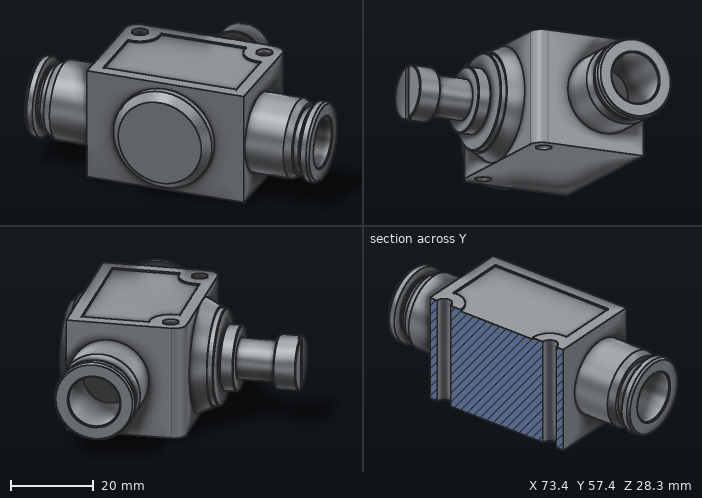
import cadquery as cq

BLOCK_WIDTH = 40.5
BLOCK_DEPTH = 29.1
BLOCK_HEIGHT = 28.3
BLOCK_FRONT_Y = -10.6
BLOCK_BACK_Y = BLOCK_FRONT_Y + BLOCK_DEPTH
BACK_CORNER_RADIUS = 3.1

MOUNT_HOLE_RADIUS = 2.0
MOUNT_HOLE_INSET = 4.2
MOUNT_HOLE_X = BLOCK_WIDTH / 2 - MOUNT_HOLE_INSET
MOUNT_HOLE_Y = BLOCK_BACK_Y - MOUNT_HOLE_INSET

PANEL_MARGIN = 3.1
PANEL_DEPTH = 0.45
LAND_RADIUS = 5.15

OVERALL_LENGTH = 73.4
PORT_RADIUS = 9.9
PORT_TAPER_RADIUS = 8.95
SHOULDER_RADIUS = 8.1
COLLET_NECK_RADIUS = 7.3
COLLET_ROOT_RADIUS = 7.55
COLLET_ROOT_LENGTH = 0.4
FLANGE_THICKNESS = 2.1
FLANGE_CHAMFER_LENGTH = 0.65
FLANGE_CHAMFER_RISE = 0.45
SHOULDER_START = 3.4
TAPER_START = 4.7
TAPER_LENGTH = 1.8
PORT_LENGTH = (OVERALL_LENGTH - BLOCK_WIDTH) / 2
BORE_RADIUS = 6.3
BORE_CHAMFER = 0.3

PLUG_RADIUS = 12.7
PLUG_LENGTH = 3.75
PLUG_CHAMFER = 2.0

BONNET_BASE_RADIUS = BLOCK_HEIGHT / 2
BONNET_TOP_RADIUS = 12.3
BONNET_LENGTH = 3.8

RIM_RADIUS = 11.9
RIM_LENGTH = 1.55
NECK_RADIUS = 6.7
NECK_LENGTH = 0.45
RING_RADIUS = 8.1
RING_LENGTH = 3.6
RING_SEAT_CHAMFER = 0.45
SHANK_RADIUS = 5.1
SHANK_LENGTH = 9.55
HEAD_RADIUS = 6.7
HEAD_LENGTH = 5.6
EDGE_CHAMFER = 0.2
SLOT_WIDTH = 1.5
SLOT_DEPTH = 0.65


def disc_along_y(radius, length, start_y):
    """Solid cylinder about the Y axis, from start_y towards +Y."""
    base = cq.Workplane("XZ", origin=(0, start_y, 0))
    return base.circle(radius).extrude(-length)


def make_block():
    block = cq.Workplane("XY").box(BLOCK_WIDTH, BLOCK_DEPTH, BLOCK_HEIGHT)
    block = block.translate((0, BLOCK_FRONT_Y + BLOCK_DEPTH / 2, 0))
    return block.edges("|Z and >Y").fillet(BACK_CORNER_RADIUS)


def make_mount_holes():
    """Cutters for the two mounting holes, through the full block height."""
    centres = [(-MOUNT_HOLE_X, MOUNT_HOLE_Y), (MOUNT_HOLE_X, MOUNT_HOLE_Y)]
    base = cq.Workplane("XY", origin=(0, 0, -BLOCK_HEIGHT / 2))
    return base.pushPoints(centres).circle(MOUNT_HOLE_RADIUS).extrude(BLOCK_HEIGHT)


def make_panel_recess():
    """Panel pocket whose back corners are rounded off concentrically with the mounting holes."""
    half_width = BLOCK_WIDTH / 2 - PANEL_MARGIN
    front_y = BLOCK_FRONT_Y + PANEL_MARGIN
    back_y = BLOCK_BACK_Y - PANEL_MARGIN
    floor_z = BLOCK_HEIGHT / 2 - PANEL_DEPTH
    recess = cq.Workplane("XY").box(
        2 * half_width, back_y - front_y, PANEL_DEPTH, centered=(True, False, False)
    )
    recess = recess.translate((0, front_y, floor_z))
    land_reach = MOUNT_HOLE_INSET + LAND_RADIUS
    for side in (-1, 1):
        land = cq.Workplane("XY").box(land_reach, land_reach, BLOCK_HEIGHT)
        inner_edge = "|Z and <Y and <X" if side > 0 else "|Z and <Y and >X"
        land = land.edges(inner_edge).fillet(LAND_RADIUS)
        land_x = side * (BLOCK_WIDTH - land_reach) / 2
        recess = recess.cut(land.translate((land_x, BLOCK_BACK_Y - land_reach / 2, 0)))
    return recess


def make_port():
    """Port on the +X side with its tube collet, as one revolved profile around a blind bore."""
    end_x = OVERALL_LENGTH / 2
    inner_x = end_x - PORT_LENGTH
    profile = [
        (inner_x, PORT_RADIUS),
        (end_x - TAPER_START - TAPER_LENGTH, PORT_RADIUS),
        (end_x - TAPER_START, PORT_TAPER_RADIUS),
        (end_x - TAPER_START, SHOULDER_RADIUS),
        (end_x - SHOULDER_START, SHOULDER_RADIUS),
        (end_x - SHOULDER_START, COLLET_NECK_RADIUS),
        (end_x - FLANGE_THICKNESS - COLLET_ROOT_LENGTH, COLLET_NECK_RADIUS),
        (end_x - FLANGE_THICKNESS, COLLET_ROOT_RADIUS),
        (end_x - FLANGE_THICKNESS, PORT_RADIUS),
        (end_x - FLANGE_CHAMFER_LENGTH, PORT_RADIUS),
        (end_x, PORT_RADIUS - FLANGE_CHAMFER_RISE),
        (end_x, BORE_RADIUS + BORE_CHAMFER),
        (end_x - BORE_CHAMFER, BORE_RADIUS),
        (inner_x, BORE_RADIUS),
    ]
    outline = cq.Workplane("XY").polyline(profile).close()
    return outline.revolve(360, (0, 0, 0), (1, 0, 0))


def make_plug():
    plug = disc_along_y(PLUG_RADIUS, PLUG_LENGTH, BLOCK_FRONT_Y - PLUG_LENGTH)
    return plug.faces("<Y").chamfer(PLUG_CHAMFER)


def make_bonnet():
    profile = [
        (0, BLOCK_BACK_Y),
        (BONNET_BASE_RADIUS, BLOCK_BACK_Y),
        (BONNET_TOP_RADIUS, BLOCK_BACK_Y + BONNET_LENGTH),
        (0, BLOCK_BACK_Y + BONNET_LENGTH),
    ]
    outline = cq.Workplane("XY").polyline(profile).close()
    return outline.revolve(360, (0, 0, 0), (0, 1, 0))


def make_housing():
    port = make_port()
    housing = make_block().union(port).union(port.mirror("YZ"))
    housing = housing.union(make_plug()).union(make_bonnet())
    return housing.cut(make_mount_holes()).cut(make_panel_recess())


def make_screw():
    """Adjusting screw seated on the flat end of the bonnet."""
    rim_y = BLOCK_BACK_Y + BONNET_LENGTH
    neck_y = rim_y + RIM_LENGTH
    ring_y = neck_y + NECK_LENGTH
    shank_y = ring_y + RING_LENGTH
    head_y = shank_y + SHANK_LENGTH
    top_y = head_y + HEAD_LENGTH

    rim = disc_along_y(RIM_RADIUS, RIM_LENGTH, rim_y).faces(">Y").chamfer(EDGE_CHAMFER)
    neck = disc_along_y(NECK_RADIUS, NECK_LENGTH, neck_y)
    ring = disc_along_y(RING_RADIUS, RING_LENGTH, ring_y)
    ring = ring.faces(">Y").chamfer(EDGE_CHAMFER).faces("<Y").chamfer(RING_SEAT_CHAMFER)
    shank = disc_along_y(SHANK_RADIUS, SHANK_LENGTH, shank_y)
    head = disc_along_y(HEAD_RADIUS, HEAD_LENGTH, head_y)
    head = head.faces("<Y or >Y").chamfer(EDGE_CHAMFER)

    slot = cq.Workplane("XY").box(SLOT_WIDTH, SLOT_DEPTH, 2 * HEAD_RADIUS)
    slot = slot.translate((0, top_y - SLOT_DEPTH / 2, 0))

    return rim.union(neck).union(ring).union(shank).union(head).cut(slot)


housing = make_housing()
screw = make_screw()

result = cq.Compound.makeCompound([housing.solids().val(), screw.solids().val()])